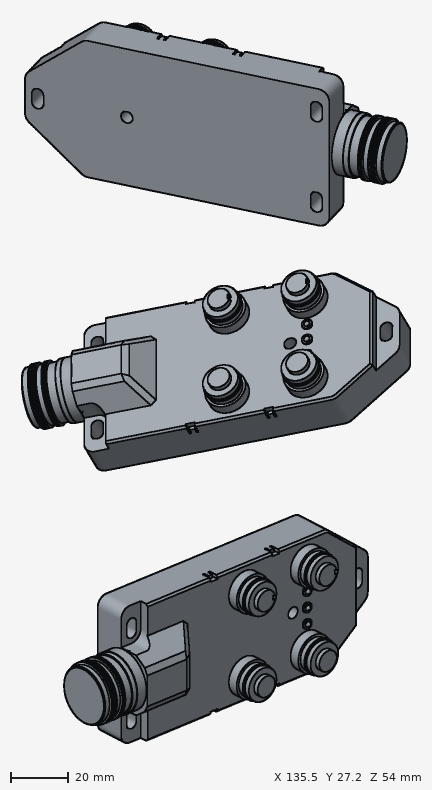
import cadquery as cq
import math


OVERALL_LENGTH = 135.5
OVERALL_HEIGHT = 27.2

PLATE_LENGTH = 116.5
PLATE_WIDTH = 54.0
PLATE_THICKNESS = 16.0
NOSE_WIDTH = 17.6
SHOULDER_X = 22.8
CORNER_RADIUS = 4.0
TOP_CHAMFER = 0.8
NOSE_STEP_LENGTH = 8.7
MOUNTING_LEVEL = 11.8

SLOT_WIDTH = 4.5
SLOT_LENGTH = 7.9
SLOT_INSET = 4.9
REAR_SLOT_Z = 17.9
POCKET_RADIUS = 4.3
POCKET_FLOOR = 12.3
HOLE_X = 39.0
HOLE_DIAMETER = 4.5

HUMP_TOP = 26.0
HUMP_START_X = 88.6
HUMP_BASE_WIDTH = 29.5
HUMP_SIDE_ANGLE = 55.0
HUMP_FRONT_ANGLE = 52.0
HUMP_CHAMFER = 1.6

SOCKET_X = (32.7, 61.7)
SOCKET_Z = 17.0
SOCKET_BASE_DIAMETER = 15.0
SOCKET_BASE_TOP = 20.0
SOCKET_NECK_DIAMETER = 13.0
SOCKET_NECK_TOP = 25.3
SOCKET_RING_DIAMETER = 13.8
SOCKET_RING_BOTTOM = 22.5
SOCKET_RING_TOP = 23.3
SOCKET_TIP_DIAMETER = 8.1
KEY_WIDTH = 1.5
KEY_DEPTH = 0.8

LENS_PITCH = 6.5
LENS_DIAMETER = 3.8
LENS_RIM_HEIGHT = 0.7
LENS_DOME_RADIUS = 1.1

CATCH_X = (47.0, 76.0)
CATCH_WIDTH = 3.3
CATCH_DEPTH = 1.4
CATCH_TAB_WIDTH = 1.9
CATCH_TAB_TOP = 14.0

PLUG_AXIS_Y = 14.0
PLUG_FLANGE_RADIUS = 11.7
PLUG_FLANGE_LENGTH = 4.2
PLUG_SEAL_LENGTH = 2.0
PLUG_SEAL_EDGE_RADIUS = 11.4
PLUG_BARREL_RADIUS = 10.8
PLUG_END_CHAMFER = 0.4
RIDGE_X = (126.5, 127.6, 130.5, 131.6, 132.7)
RIDGE_CREST = 0.4
RIDGE_FOOT = 1.0

HALF_WIDTH = PLATE_WIDTH / 2
HALF_NOSE = NOSE_WIDTH / 2
REAR_SLOT_X = PLATE_LENGTH - SLOT_INSET
SIDES = (-1, 1)


def cylinder_up(x, z, diameter, bottom, top):
    """Upright cylinder between two heights."""
    axis_start = cq.Vector(x, bottom, z)
    return cq.Workplane(cq.Solid.makeCylinder(diameter / 2, top - bottom, axis_start, cq.Vector(0, 1, 0)))


def block(x_range, y_range, z_range):
    """Rectangular block given by its limits along each axis."""
    lows = [min(r) for r in (x_range, y_range, z_range)]
    sizes = [max(r) - min(r) for r in (x_range, y_range, z_range)]
    return cq.Workplane(cq.Solid.makeBox(*sizes, cq.Vector(*lows)))


def make_plate():
    """Arrow-shaped plate with a lowered nose and a chamfered top edge."""
    outline = [
        (0, -HALF_NOSE),
        (SHOULDER_X, -HALF_WIDTH),
        (PLATE_LENGTH, -HALF_WIDTH),
        (PLATE_LENGTH, HALF_WIDTH),
        (SHOULDER_X, HALF_WIDTH),
        (0, HALF_NOSE),
    ]
    plate = cq.Workplane("XZ").polyline(outline).close().extrude(-PLATE_THICKNESS)
    plate = plate.edges("|Y").fillet(CORNER_RADIUS)
    nose_step = block((0, NOSE_STEP_LENGTH), (MOUNTING_LEVEL, PLATE_THICKNESS), (-HALF_WIDTH, HALF_WIDTH))
    return plate.cut(nose_step).faces(">Y").chamfer(TOP_CHAMFER)


def make_hump():
    """Hump with sloping sides and front, its upper edges chamfered."""
    height = HUMP_TOP - PLATE_THICKNESS
    half_base = HUMP_BASE_WIDTH / 2
    half_top = half_base - height / math.tan(math.radians(HUMP_SIDE_ANGLE))
    front_run = height / math.tan(math.radians(HUMP_FRONT_ANGLE))
    hump = (
        cq.Workplane("YZ", origin=(HUMP_START_X, 0, 0))
        .polyline([
            (PLATE_THICKNESS, -half_base),
            (HUMP_TOP, -half_top),
            (HUMP_TOP, half_top),
            (PLATE_THICKNESS, half_base),
        ])
        .close()
        .extrude(PLATE_LENGTH - HUMP_START_X)
    )
    front_wedge = (
        cq.Workplane("XY")
        .moveTo(HUMP_START_X, PLATE_THICKNESS)
        .lineTo(HUMP_START_X + front_run, HUMP_TOP)
        .lineTo(HUMP_START_X, HUMP_TOP)
        .close()
        .extrude(half_base, both=True)
    )
    hump = hump.cut(front_wedge)
    return hump.edges("not(>X or <Y)").chamfer(HUMP_CHAMFER)


def make_socket(x, side):
    """Stepped round socket with a raised ring; the +Z row has a key slot in its tip."""
    z = side * SOCKET_Z
    socket = cylinder_up(x, z, SOCKET_BASE_DIAMETER, PLATE_THICKNESS, SOCKET_BASE_TOP)
    socket = socket.union(cylinder_up(x, z, SOCKET_NECK_DIAMETER, SOCKET_BASE_TOP, SOCKET_NECK_TOP))
    socket = socket.union(cylinder_up(x, z, SOCKET_RING_DIAMETER, SOCKET_RING_BOTTOM, SOCKET_RING_TOP))
    socket = socket.union(cylinder_up(x, z, SOCKET_TIP_DIAMETER, SOCKET_NECK_TOP, OVERALL_HEIGHT))
    if side > 0:
        tip_edge = x - SOCKET_TIP_DIAMETER / 2
        socket = socket.cut(block(
            (tip_edge, tip_edge + KEY_DEPTH),
            (SOCKET_NECK_TOP, OVERALL_HEIGHT),
            (z - KEY_WIDTH / 2, z + KEY_WIDTH / 2),
        ))
    return socket


def make_lens(z):
    """Low disc with a small dome, in line with the first pair of sockets."""
    x = SOCKET_X[0]
    rim_top = PLATE_THICKNESS + LENS_RIM_HEIGHT
    rim = cylinder_up(x, z, LENS_DIAMETER, PLATE_THICKNESS, rim_top)
    dome = cq.Workplane("XY").sphere(LENS_DOME_RADIUS).translate((x, rim_top, z))
    return rim.union(dome)


def make_slot(x, z):
    """Through slot, elongated along Z."""
    return (
        cq.Workplane("XZ")
        .center(x, z)
        .slot2D(SLOT_LENGTH, SLOT_WIDTH, 90)
        .extrude(-PLATE_THICKNESS)
    )


def make_corner_pocket(side):
    """Clearance above a rear slot, rounded inside and open to the end and the long side."""
    round_z = REAR_SLOT_Z - (SLOT_LENGTH - SLOT_WIDTH) / 2
    inner_z = round_z - POCKET_RADIUS
    heights = (POCKET_FLOOR, HUMP_TOP)
    round_end = cylinder_up(REAR_SLOT_X, side * round_z, 2 * POCKET_RADIUS, *heights)
    outward = block((REAR_SLOT_X - POCKET_RADIUS, PLATE_LENGTH), heights, (side * round_z, side * HALF_WIDTH))
    endward = block((REAR_SLOT_X, PLATE_LENGTH), heights, (side * inner_z, side * HALF_WIDTH))
    return round_end.union(outward).union(endward)


def make_catch(x, side):
    """Notch in a long side that leaves a short tab standing in its middle."""
    depth = (side * (HALF_WIDTH - CATCH_DEPTH), side * HALF_WIDTH)
    notch = block((x - CATCH_WIDTH / 2, x + CATCH_WIDTH / 2), (MOUNTING_LEVEL, PLATE_THICKNESS), depth)
    tab = block((x - CATCH_TAB_WIDTH / 2, x + CATCH_TAB_WIDTH / 2), (MOUNTING_LEVEL, CATCH_TAB_TOP), depth)
    return notch.cut(tab)


def make_housing():
    """Plate, hump, sockets and lenses as one moulding, with its openings cut."""
    housing = make_plate().union(make_hump())
    for side in SIDES:
        housing = housing.cut(make_corner_pocket(side))
        housing = housing.cut(make_slot(REAR_SLOT_X, side * REAR_SLOT_Z))
        for x in CATCH_X:
            housing = housing.cut(make_catch(x, side))
        for x in SOCKET_X:
            housing = housing.union(make_socket(x, side))
    for step in (-1, 0, 1):
        housing = housing.union(make_lens(step * LENS_PITCH))
    housing = housing.cut(make_slot(SLOT_INSET, 0))
    return housing.cut(cylinder_up(HOLE_X, 0, HOLE_DIAMETER, 0, PLATE_THICKNESS))


def make_plug():
    """Round plug turned about X: flange, bulged seal and ridged barrel."""
    seal_start = PLATE_LENGTH + PLUG_FLANGE_LENGTH
    seal_end = seal_start + PLUG_SEAL_LENGTH
    profile = (
        cq.Workplane("XY")
        .moveTo(PLATE_LENGTH, 0)
        .lineTo(PLATE_LENGTH, PLUG_FLANGE_RADIUS)
        .lineTo(seal_start, PLUG_FLANGE_RADIUS)
        .lineTo(seal_start, PLUG_SEAL_EDGE_RADIUS)
        .threePointArc(((seal_start + seal_end) / 2, PLUG_FLANGE_RADIUS), (seal_end, PLUG_SEAL_EDGE_RADIUS))
        .lineTo(seal_end, PLUG_BARREL_RADIUS)
    )
    for x in RIDGE_X:
        profile = (
            profile.lineTo(x - RIDGE_FOOT / 2, PLUG_BARREL_RADIUS)
            .lineTo(x - RIDGE_CREST / 2, PLUG_FLANGE_RADIUS)
            .lineTo(x + RIDGE_CREST / 2, PLUG_FLANGE_RADIUS)
            .lineTo(x + RIDGE_FOOT / 2, PLUG_BARREL_RADIUS)
        )
    profile = (
        profile.lineTo(OVERALL_LENGTH - PLUG_END_CHAMFER, PLUG_BARREL_RADIUS)
        .lineTo(OVERALL_LENGTH, PLUG_BARREL_RADIUS - PLUG_END_CHAMFER)
        .lineTo(OVERALL_LENGTH, 0)
        .close()
    )
    return profile.revolve(360, (0, 0, 0), (1, 0, 0)).translate((0, PLUG_AXIS_Y, 0))


housing = make_housing()
plug = make_plug()
result = cq.Compound.makeCompound([housing.val(), plug.val()])